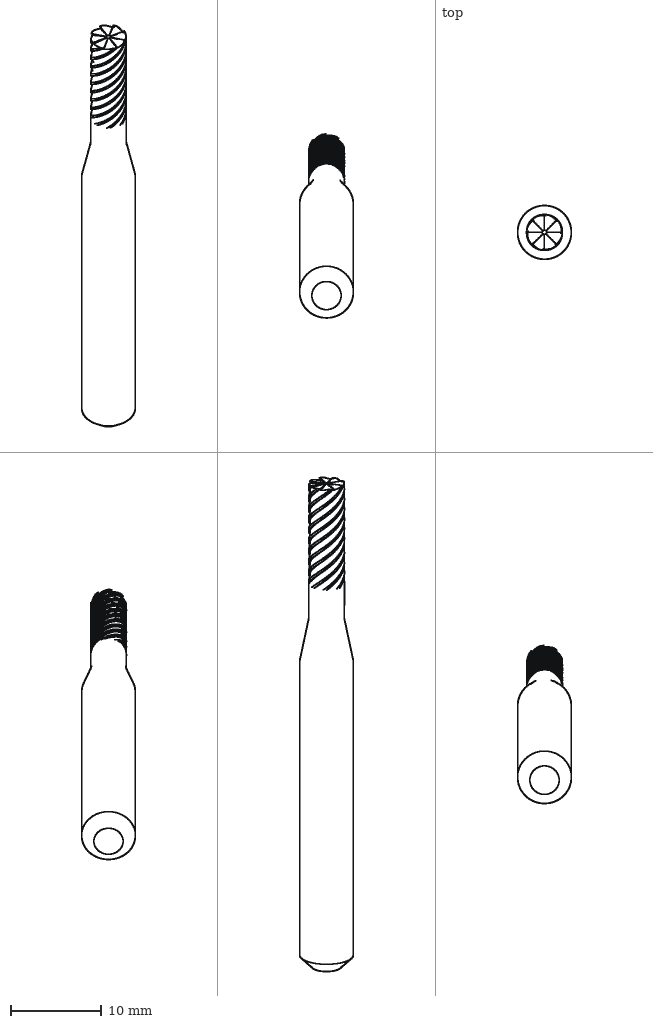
import cadquery as cq
import math

total_length = 57.0
shank_radius = 2.99
head_radius = 2.0
shank_chamfer = 1.35
cone_bottom = 36.0
cone_top = 41.0
flute_bottom = 45.15

flute_count = 8
flute_lead = 10.0
flute_depth = 0.15
runout_slope = 4.0
land_share = 0.25

gash_depth = 0.2
gash_share = 0.65
gash_inner_radius = 0.2
gash_overrun = 0.15

tooth_pitch = 360.0 / flute_count
root_radius = head_radius - flute_depth
flute_length = total_length - flute_bottom
flute_twist = 360 * flute_length / flute_lead
runout_height = runout_slope * head_radius


def polar(radius, degrees):
    angle = math.radians(degrees)
    return (radius * math.cos(angle), radius * math.sin(angle))


def make_body():
    """Chamfered shank, cone and neck, ending in a cone that closes the flutes at their foot."""
    return (
        cq.Workplane("XZ")
        .moveTo(0, 0)
        .lineTo(shank_radius - shank_chamfer, 0)
        .lineTo(shank_radius, shank_chamfer)
        .lineTo(shank_radius, cone_bottom)
        .lineTo(head_radius, cone_top)
        .lineTo(head_radius, flute_bottom)
        .lineTo(0, flute_bottom + runout_height)
        .close()
        .revolve(360, (0, 0, 0), (0, 1, 0))
    )


def make_teeth():
    """Toothed section twisted counterclockwise as it rises."""
    profile = cq.Workplane("XY", origin=(0, 0, flute_bottom)).moveTo(*polar(head_radius, 0))
    back_middle_share = (1 + land_share) / 2
    back_middle_radius = root_radius + 0.4 * flute_depth
    for tooth in range(flute_count):
        start = -tooth * tooth_pitch
        end = start - tooth_pitch
        profile = (
            profile
            .threePointArc(
                polar(head_radius, start - land_share * tooth_pitch / 2),
                polar(head_radius, start - land_share * tooth_pitch),
            )
            .threePointArc(
                polar(back_middle_radius, start - back_middle_share * tooth_pitch),
                polar(root_radius, end),
            )
            .lineTo(*polar(head_radius, end))
        )
    return profile.close().twistExtrude(flute_length, flute_twist)


def make_gash():
    """Wedge along +X, deepest on its cutting face and widening towards the rim."""
    outer_radius = head_radius + gash_overrun
    slope = math.tan(math.radians(gash_share * tooth_pitch))

    def section(workplane, radius):
        depth = gash_depth * radius / head_radius
        return workplane.polyline([(0, 0), (0, -depth), (radius * slope, 0)]).close()

    inner = section(cq.Workplane("YZ", origin=(gash_inner_radius, 0, total_length)), gash_inner_radius)
    outer = section(inner.workplane(offset=outer_radius - gash_inner_radius), outer_radius)
    return outer.loft(ruled=True)


teeth = make_teeth().rotate((0, 0, 0), (0, 0, 1), -flute_twist)
for tooth in range(flute_count):
    teeth = teeth.cut(make_gash().rotate((0, 0, 0), (0, 0, 1), tooth * tooth_pitch))

result = make_body().union(teeth)